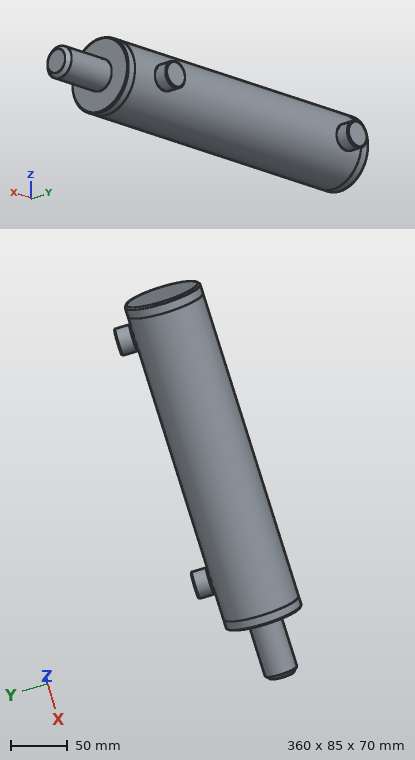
import cadquery as cq

total_length = 360.0
body_diameter = 70.0
body_length = 305.3
end_cap_length = 10.0
gland_length = 9.0
end_cap_chamfer = 1.8
gland_chamfer = 1.0

rod_diameter = 30.0
rod_chamfer = 4.0

port_diameter = 25.0
port_height = 15.0
port_chamfer = 1.0
port_positions = (30.2, 260.0)

body_radius = body_diameter / 2
barrel_length = body_length - end_cap_length - gland_length
gland_start = body_length - gland_length


def cylinder_along_x(start, length, diameter):
    """Round bar on the X axis, starting at x = start."""
    return cq.Workplane("YZ", origin=(start, 0, 0)).circle(diameter / 2).extrude(length)


def make_end_cap():
    """Closed rear end, chamfered round its outer rim."""
    return cylinder_along_x(0, end_cap_length, body_diameter).faces("<X").chamfer(end_cap_chamfer)


def make_barrel():
    """Plain cylinder between the end cap and the gland."""
    return cylinder_along_x(end_cap_length, barrel_length, body_diameter)


def make_gland():
    """Front ring with a chamfered rim and a through hole that fits the rod."""
    blank = cylinder_along_x(gland_start, gland_length, body_diameter).faces(">X").chamfer(gland_chamfer)
    return blank.cut(cylinder_along_x(gland_start, gland_length, rod_diameter))


def make_rod():
    """Rod from the barrel face out through the gland, chamfered at its tip."""
    rod = cylinder_along_x(gland_start, total_length - gland_start, rod_diameter)
    return rod.faces(">X").chamfer(rod_chamfer)


def make_port(x):
    """Boss on the +Y side, resting on the barrel's outermost line and chamfered at both ends."""
    base = cq.Workplane("XZ", origin=(x, body_radius, 0))
    boss = base.circle(port_diameter / 2).extrude(-port_height)
    return boss.faces("<Y or >Y").chamfer(port_chamfer)


end_cap = make_end_cap()
barrel = make_barrel()
gland = make_gland()
rod = make_rod()
ports = [make_port(x) for x in port_positions]

result = cq.Compound.makeCompound(
    [end_cap.val(), barrel.val(), gland.val(), rod.val(), *[port.val() for port in ports]]
)